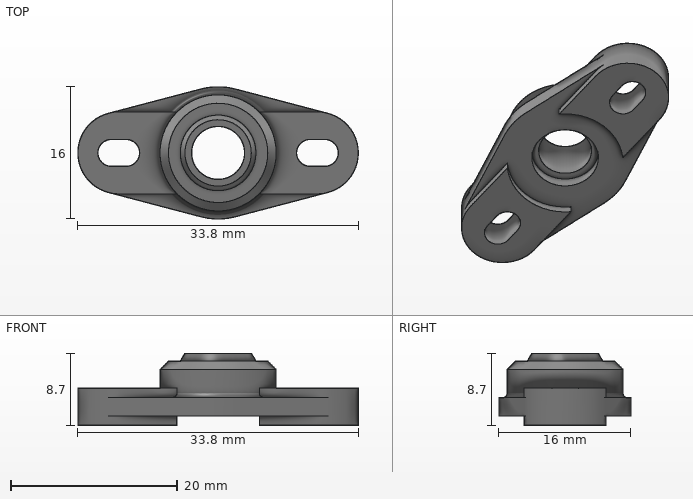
import cadquery as cq
import math

length = 33.8
ear_radius = 4.95
ear_height = 4.5
ear_center_x = length / 2 - ear_radius
slot_length = 5.0
slot_width = 3.2

plate_radius = 7.98
plate_bottom = 1.1
plate_top = 3.35

barrel_radius = 7.0
barrel_top = 7.75
barrel_chamfer = 1.0
fillet_radius = 0.5

ball_radius = 5.0
ball_top = 8.7
ball_center_z = 5.68
bore_radius = 3.18
ball_half_width = ball_top - ball_center_z
ball_end_radius = math.sqrt(ball_radius**2 - ball_half_width**2)


def cylinder(radius, bottom, top):
    return cq.Workplane("XY").workplane(offset=bottom).circle(radius).extrude(top - bottom)


def make_ears():
    """Stadium-shaped block, cut away in the middle to the barrel's circle."""
    block = cq.Workplane("XY").slot2D(length, 2 * ear_radius).extrude(ear_height)
    return block.cut(cylinder(barrel_radius, 0, ear_height))


def make_plate():
    """Plate bounded by the lines tangent to the central circle and the ear circles."""
    tangent_angle = math.asin((plate_radius - ear_radius) / ear_center_x)
    sine = math.sin(tangent_angle)
    cosine = math.cos(tangent_angle)
    inner_x = plate_radius * sine
    inner_y = plate_radius * cosine
    outer_x = ear_center_x + ear_radius * sine
    outer_y = ear_radius * cosine
    return (
        cq.Workplane("XY")
        .workplane(offset=plate_bottom)
        .moveTo(-outer_x, outer_y)
        .lineTo(-inner_x, inner_y)
        .threePointArc((0, plate_radius), (inner_x, inner_y))
        .lineTo(outer_x, outer_y)
        .lineTo(outer_x, -outer_y)
        .lineTo(inner_x, -inner_y)
        .threePointArc((0, -plate_radius), (-inner_x, -inner_y))
        .lineTo(-outer_x, -outer_y)
        .close()
        .extrude(plate_top - plate_bottom)
    )


def make_barrel():
    """Revolved barrel with a chamfered rim and a concave fillet onto the plate."""
    fillet_top = plate_top + fillet_radius
    arc_offset = fillet_radius * (1 - math.sqrt(0.5))
    return (
        cq.Workplane("XZ")
        .moveTo(0, plate_bottom)
        .lineTo(barrel_radius + fillet_radius, plate_bottom)
        .lineTo(barrel_radius + fillet_radius, plate_top)
        .threePointArc((barrel_radius + arc_offset, plate_top + arc_offset), (barrel_radius, fillet_top))
        .lineTo(barrel_radius, barrel_top - barrel_chamfer)
        .lineTo(barrel_radius - barrel_chamfer, barrel_top)
        .lineTo(0, barrel_top)
        .close()
        .revolve(360, (0, 0, 0), (0, 1, 0))
    )


def make_ball_blank():
    """Sphere trimmed to the width of the ball, without its bore."""
    sphere = cq.Workplane("XY").sphere(ball_radius).translate((0, 0, ball_center_z))
    return sphere.intersect(cylinder(ball_radius, ball_center_z - ball_half_width, ball_top))


def make_housing():
    slots = (
        cq.Workplane("XY")
        .pushPoints([(-ear_center_x, 0), (ear_center_x, 0)])
        .slot2D(slot_length, slot_width)
        .extrude(ear_height)
    )
    body = make_ears().union(make_plate()).union(make_barrel()).cut(slots)
    opening = cylinder(ball_end_radius, plate_bottom, ball_center_z)
    return body.cut(make_ball_blank()).cut(opening)


def make_ball():
    return make_ball_blank().cut(cylinder(bore_radius, 0, ball_top))


housing = make_housing()
ball = make_ball()

result = cq.Compound.makeCompound([housing.solids().val(), ball.solids().val()])